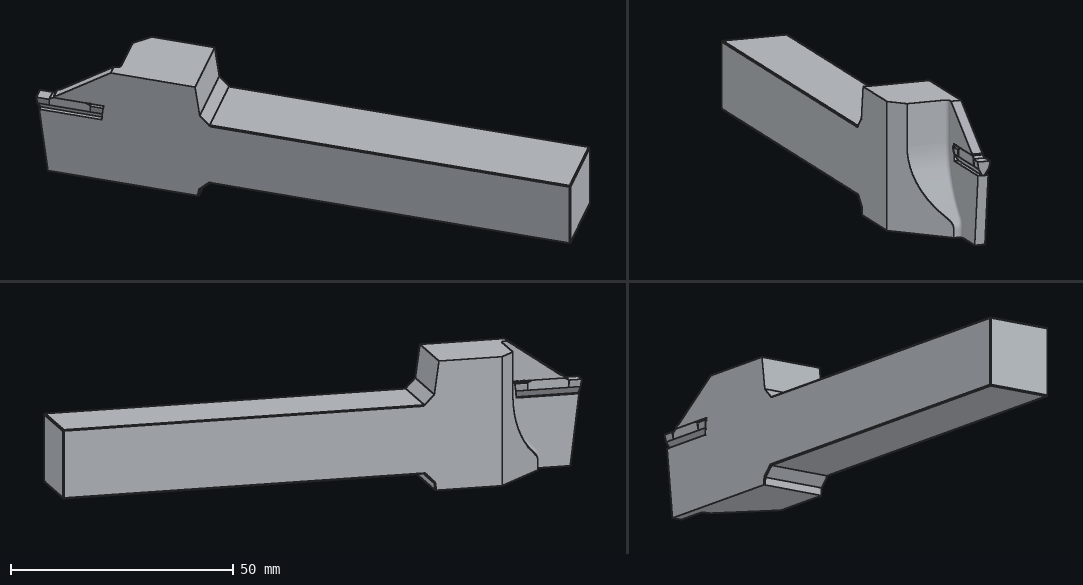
import cadquery as cq
import math


tool_length = 125.0
shank_size = 16.0
shank_chamfer = 0.3

head_top = 26.0
head_bottom = -4.0
face_lean = math.tan(math.radians(7))
shoulder_lean = math.tan(math.radians(8))
front_slope = math.tan(math.radians(35))
head_top_start = 17.4
head_top_end = 37.1
head_bottom_start = 2.6
neck_end = 40.5
nose_start = 5.0
nose_end = 4.0
nose_end_height = 16.9

blade_thickness = 2.5
relief_radius = 21.0
relief_back = 18.9
relief_foot = 10.8
relief_blend = 3.0
relief_floor_fillet = 1.0
back_bevel_end = 22.4

tip_height = shank_size
insert_length = 15.6
cutting_width = 3.0
insert_top = 16.5
flank_top = 15.6
belly_top = 14.3
insert_bottom = 12.6
belly_land = 0.5
cutting_head_length = 3.0
ramp_end = 4.0
ridge_width = 1.3

clearance = 6.3


def prism(outline, y_start, y_end):
    """Extrude a closed XZ outline from y_start to y_end."""
    return outline.extrude(-(y_end - y_start)).translate((0, y_start, 0))


def shoulder_x(height_beyond_shank):
    """X of the leaning shoulder behind the head, at a height above or below the shank."""
    return head_top_end + shoulder_lean * (head_top - shank_size - height_beyond_shank)


def make_blank():
    """Head and shank in full thickness, with the shank edges chamfered."""
    bevel_height = (neck_end - shoulder_x(0)) / (1 - shoulder_lean)
    bevel_x = shoulder_x(bevel_height)
    bottom_end = shoulder_x(-head_bottom)
    front_top = head_bottom_start - face_lean * (insert_bottom - head_bottom)
    nose_start_height = head_top - (head_top_start - nose_start) * front_slope
    outline = (
        cq.Workplane("XZ")
        .moveTo(front_top, insert_bottom)
        .lineTo(head_bottom_start, head_bottom)
        .lineTo(bottom_end, head_bottom)
        .lineTo(bevel_x, -bevel_height)
        .lineTo(neck_end, 0)
        .lineTo(tool_length, 0)
        .lineTo(tool_length, shank_size)
        .lineTo(neck_end, shank_size)
        .lineTo(bevel_x, shank_size + bevel_height)
        .lineTo(head_top_end, head_top)
        .lineTo(head_top_start, head_top)
        .lineTo(nose_start, nose_start_height)
        .lineTo(nose_end, nose_end_height)
        .lineTo(nose_end, insert_top)
        .close()
    )
    blank = prism(outline, 0, shank_size)

    margin = 0.1
    chamfered = cq.Workplane("XY")
    for side_y in (0, shank_size):
        side_box = cq.selectors.BoxSelector(
            (bottom_end, side_y - margin, head_bottom + margin),
            (tool_length + margin, side_y + margin, shank_size + margin),
        )
        chamfered = chamfered.add(blank.edges(side_box).vals())
    chamfered = chamfered.add(blank.faces(">X").edges("|Y").vals())
    return blank.newObject([blank.val().chamfer(shank_chamfer, None, chamfered.vals())])


def make_relief():
    """Arc-shaped clearance behind the blade, with a filleted floor edge."""
    center_x = relief_back - relief_radius
    center_z = tip_height
    blend_x = relief_foot + relief_blend
    reach = relief_radius + relief_blend
    blend_z = center_z - math.sqrt(reach**2 - (blend_x - center_x) ** 2)
    tangent_x = center_x + (blend_x - center_x) * relief_radius / reach
    tangent_z = center_z + (blend_z - center_z) * relief_radius / reach
    end_angle = math.atan2(tangent_z - center_z, tangent_x - center_x)
    arc_middle = (
        center_x + relief_radius * math.cos(end_angle / 2),
        center_z + relief_radius * math.sin(end_angle / 2),
    )
    blend_angle = (math.pi + math.atan2(center_z - blend_z, center_x - blend_x)) / 2
    blend_middle = (
        blend_x + relief_blend * math.cos(blend_angle),
        blend_z + relief_blend * math.sin(blend_angle),
    )
    outline = (
        cq.Workplane("XZ")
        .moveTo(-clearance, head_top + clearance)
        .lineTo(relief_back, head_top + clearance)
        .lineTo(relief_back, center_z)
        .threePointArc(arc_middle, (tangent_x, tangent_z))
        .threePointArc(blend_middle, (relief_foot, blend_z))
        .lineTo(relief_foot, head_bottom - clearance)
        .lineTo(-clearance, head_bottom - clearance)
        .close()
    )
    relief = prism(outline, blade_thickness, shank_size + clearance)
    return relief.faces("<Y").edges().fillet(relief_floor_fillet)


def make_back_bevel():
    bevel_run = shank_size - blade_thickness
    return (
        cq.Workplane("XY")
        .workplane(offset=head_bottom - clearance)
        .moveTo(back_bevel_end + clearance, shank_size + clearance)
        .lineTo(back_bevel_end - bevel_run, blade_thickness)
        .lineTo(-clearance, blade_thickness)
        .lineTo(-clearance, shank_size + clearance)
        .close()
        .extrude(head_top - head_bottom + 2 * clearance)
    )


def make_insert_slot():
    roof_end = insert_length + face_lean * (insert_top - tip_height)
    outline = (
        cq.Workplane("XZ")
        .moveTo(-clearance, insert_bottom)
        .lineTo(insert_length - face_lean * (tip_height - insert_bottom), insert_bottom)
        .lineTo(roof_end, insert_top)
        .lineTo(-clearance, insert_top)
        .close()
    )
    ridge_outline = (
        cq.Workplane("XZ")
        .moveTo(insert_length - ramp_end, insert_top)
        .lineTo(insert_length - cutting_head_length, tip_height)
        .lineTo(insert_length, tip_height)
        .lineTo(roof_end, insert_top)
        .close()
    )
    ridge_start = (blade_thickness - ridge_width) / 2
    ridge = prism(ridge_outline, ridge_start, ridge_start + ridge_width)
    return prism(outline, -clearance, blade_thickness + clearance).cut(ridge)


def make_holder():
    return make_blank().cut(make_relief()).cut(make_back_bevel()).cut(make_insert_slot())


def insert_section(overhang):
    """YZ outline that overhangs the blade faces at the top and tapers to the V-shaped belly."""
    middle = blade_thickness / 2
    half_outline = [
        (middle + overhang, insert_top),
        (middle + overhang, flank_top),
        (middle, belly_top),
        (belly_land / 2, insert_bottom),
    ]
    right_side = [(middle + offset, z) for offset, z in half_outline]
    left_side = [(middle - offset, z) for offset, z in reversed(half_outline)]
    return cq.Workplane("YZ").polyline(right_side + left_side).close()


def make_insert():
    front_half = [
        (face_lean * (tip_height - insert_bottom), insert_bottom),
        (0, tip_height),
        (cutting_head_length, tip_height),
        (ramp_end, insert_top),
    ]
    back_half = [(insert_length - x, z) for x, z in reversed(front_half)]
    side_outline = cq.Workplane("XZ").polyline(front_half + back_half).close()
    side_shape = prism(side_outline, -clearance, blade_thickness + clearance)

    insert = insert_section(0).extrude(insert_length).intersect(side_shape)
    head_section = insert_section((cutting_width - blade_thickness) / 2)
    cutting_head = head_section.extrude(cutting_head_length)
    for start in (0, insert_length - cutting_head_length):
        insert = insert.union(cutting_head.translate((start, 0, 0)).intersect(side_shape))
    return insert.clean()


holder = make_holder()
insert = make_insert()
result = cq.Compound.makeCompound([holder.solids().val(), insert.solids().val()])